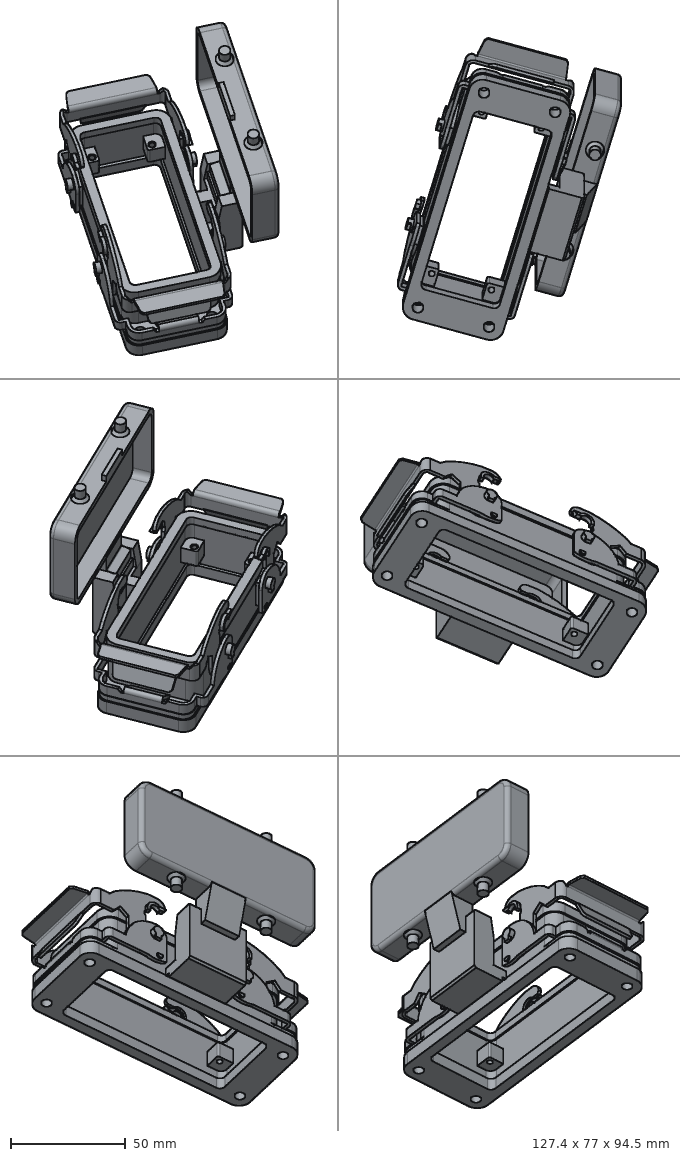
import cadquery as cq
import math


BASE_X, BASE_Y, BASE_H = 115.2, 45.4, 6.8
BASE_CORNER_R = 5.9
STEP_INSET = 0.75
STEP_TOP = 9.4
BODY_X, BODY_Y, BODY_CORNER_R = 94.2, BASE_Y - 2 * STEP_INSET, 6.0
RIM_OVERHANG = 0.8
RIM_BOTTOM, RIM_TOP = 26.7, 32.0
CAVITY_X, CAVITY_Y, CAVITY_R = 87.6, 36.4, 2.6
LIP_BOTTOM, LIP_WIDTH = 28.0, 0.6
LEDGE_Z, LEDGE_X_WIDTH, LEDGE_Y_WIDTH = 5.9, 0.9, 0.45
MOUNT_HOLE_D, MOUNT_X, MOUNT_Y = 4.7, 51.7, 16.1
LUG_X, LUG_Y, LUG_BOTTOM, LUG_TOP = 7.6, 7.3, 11.5, 19.8
LUG_CORNER_R = 0.9
SCREW_D, SCREW_MOUTH_D, SCREW_X, SCREW_Y = 2.6, 3.4, 38.95, 13.5
SCREW_MOUTH_ANGLE = 90

PIVOT_X, PIVOT_Z, PIVOT_R = -23.9, 23.7, 2.6
PIN_END_Y = 29.1
KEY_WIDTH, KEY_BOTTOM, KEY_DEPTH = 2.8, 19.7, 1.6

ARM_IN, ARM_OUT = 22.9, 24.5
LEVER_END_X = -55.2
LEVER_CORNER_R = 3.5
BAND_BOTTOM, BAND_TOP, ARM_TOP = 28.5, 35.1, 37.1
BAND_END_X = -51.0
ARM_ROOT_X, ARM_SHOULDER_X = -51.8, -46.9
CORNER_RELIEF = 1.6
HOOK_X, HOOK_Z, HOOK_R = PIVOT_X, 38.4, 2.4
HOOK_RIM_R, HOOK_RIM_BOTTOM, HOOK_RIM_OUT = 3.9, 36.7, 26.2
HOOK_WEB = 0.4
NOSE_BACK, NOSE_TIP, NOSE_HEEL_Z = (-17.9, 41.3), (-19.4, 39.6), 39.2
HANDLE_TIP_X, HANDLE_TIP_HALF, HANDLE_ROOT_HALF = -63.7, 17.7, 20.0
HANDLE_CORNER = 1.2
SHEET = 1.4
BEND_R = 0.7

CLIP_END_X, CLIP_SIDE_Y, CLIP_SHEET = -57.2, 22.1, 1.6
CLIP_CORNER_R = 5.2
CLIP_BOTTOM, CLIP_TOP = 10.0, 15.2
CLIP_JOG_X = -49.4
CLIP_JOG_R = 2.6
CLIP_ARM_IN, CLIP_ARM_OUT = 24.8, 26.5
CLIP_ARM_END_X = -17.9
NOTCH_Z, NOTCH_TOP_HALF, NOTCH_BOTTOM_HALF = 13.5, 11.6, 10.3
TAB_HALF = 9.0

HINGE_HALF, BAR_HALF = 15.1, 9.1
HINGE_BACK_Y, HINGE_BOTTOM, HINGE_TOP = 39.8, 5.1, 36.9
EAR_FRONT_Y, FOOT_TOP = 28.8, 11.5
RIB_HALF, RIB_TOP = 3.0, 26.9
BAR_CREST_Y, BAR_CREST_Z = 35.5, 37.3
BAR_FRONT_Y, BAR_FRONT_TOP = 31.4, 36.2
BAR_STEP_Y, BAR_STEP_Z = 30.4, 31.6

LID_X, LID_BOTTOM, LID_TOP = 94.2, 45.0, 88.5
LID_BACK_Y, LID_FRONT_Y = 47.9, 35.6
LID_CORNER_R, LID_BACK_R = 6.0, 2.2
LID_WALL, LID_CAVITY_DEPTH = 2.6, 8.8
POST_X, POST_Y, POST_R, POST_LENGTH = 24.0, 42.2, 2.5, 6.04
POST_FOOT_R, POST_FOOT_H = 4.0, 1.4
LATCH_HALF, LATCH_TOP, LATCH_THICK = 9.5, 91.6, 2.2


def block(x0, x1, y0, y1, z0, z1):
    """Box between two opposite corners."""
    return cq.Workplane("XY").box(x1 - x0, y1 - y0, z1 - z0, centered=False).translate((x0, y0, z0))


def rounded_block(x, y, z0, z1, radius):
    """Block centred on Z with rounded vertical edges."""
    return block(-x / 2, x / 2, -y / 2, y / 2, z0, z1).edges("|Z").fillet(radius)


def profile_xz(start):
    """Begin an outline in the XZ plane."""
    return cq.Workplane("XZ").moveTo(*start)


def extrude_y(outline, y0, y1):
    """Extrude a closed XZ outline from y0 to y1."""
    return outline.extrude(y1 - y0).translate((0, y1, 0))


def extrude_x(points, half):
    """Extrude a YZ polygon symmetrically about X = 0."""
    return cq.Workplane("YZ").polyline(points).close().extrude(half, both=True)


def both_sides(shape):
    """The shape together with its mirror image in Y."""
    return shape.union(shape.mirror("XZ"))


def both_ends(shape):
    """The shape together with its mirror image in X."""
    return shape.union(shape.mirror("YZ"))


def make_frame():
    """Flanged base, hollow body with an overhanging rim, and the screw lugs."""
    step_x = BASE_X - 2 * STEP_INSET
    frame = rounded_block(BASE_X, BASE_Y, 0, BASE_H, BASE_CORNER_R)
    frame = frame.union(rounded_block(step_x, BODY_Y, BASE_H, STEP_TOP, BASE_CORNER_R - STEP_INSET))
    frame = frame.union(rounded_block(BODY_X, BODY_Y, STEP_TOP, RIM_BOTTOM, BODY_CORNER_R))
    rim_x, rim_y = BODY_X + 2 * RIM_OVERHANG, BODY_Y + 2 * RIM_OVERHANG
    frame = frame.union(rounded_block(rim_x, rim_y, RIM_BOTTOM, RIM_TOP, BODY_CORNER_R + RIM_OVERHANG))
    frame = frame.cut(rounded_block(CAVITY_X, CAVITY_Y, LEDGE_Z, RIM_TOP, CAVITY_R))
    pocket_x, pocket_y = CAVITY_X + 2 * LIP_WIDTH, CAVITY_Y + 2 * LIP_WIDTH
    frame = frame.cut(rounded_block(pocket_x, pocket_y, LEDGE_Z, LIP_BOTTOM, CAVITY_R + LIP_WIDTH))
    opening_x, opening_y = CAVITY_X - 2 * LEDGE_X_WIDTH, CAVITY_Y - 2 * LEDGE_Y_WIDTH
    frame = frame.cut(rounded_block(opening_x, opening_y, 0, LEDGE_Z, CAVITY_R))
    mount_holes = cq.Workplane("XY").rect(2 * MOUNT_X, 2 * MOUNT_Y, forConstruction=True).vertices()
    frame = frame.cut(mount_holes.circle(MOUNT_HOLE_D / 2).extrude(STEP_TOP))
    return frame.union(both_ends(both_sides(make_lug())))


def make_lug():
    """Screw lug in the -X, -Y corner of the cavity, let into the walls."""
    embed = 1.0
    wall_x, wall_y = -CAVITY_X / 2, -CAVITY_Y / 2
    lug = block(wall_x - embed, wall_x + LUG_X, wall_y - embed, wall_y + LUG_Y, LUG_BOTTOM, LUG_TOP)
    lug = lug.edges("|Z and >X and >Y").fillet(LUG_CORNER_R)
    lug = lug.faces(">Z").workplane(origin=(-SCREW_X, -SCREW_Y, LUG_TOP))
    return lug.cskHole(SCREW_D, SCREW_MOUTH_D, SCREW_MOUTH_ANGLE)


def make_pin():
    """Pivot pin on the -Y side with its key below the head."""
    wall_y = -BODY_Y / 2
    embed = 1.0
    pin = extrude_y(profile_xz((PIVOT_X, PIVOT_Z)).circle(PIVOT_R), -PIN_END_Y, wall_y + embed)
    key_y = -PIN_END_Y + KEY_DEPTH
    half = KEY_WIDTH / 2
    return pin.union(block(PIVOT_X - half, PIVOT_X + half, -PIN_END_Y, key_y, KEY_BOTTOM, PIVOT_Z))


def make_hook_arm():
    """Flat side arm of the upper lever, with the locking hook, on the -Y side."""
    outline = (
        profile_xz((ARM_ROOT_X, BAND_BOTTOM))
        .lineTo(ARM_ROOT_X, ARM_TOP)
        .lineTo(ARM_SHOULDER_X, ARM_TOP)
        .lineTo(-44.3, 39.7)
        .threePointArc((-36.0, 44.5), (-26.5, 47.3))
        .lineTo(-22.3, 47.3)
        .threePointArc((-18.3, 45.6), (-17.2, 42.8))
        .lineTo(*NOSE_BACK)
        .lineTo(*NOSE_TIP)
        .lineTo(HOOK_X + HOOK_R, NOSE_HEEL_Z)
        .lineTo(HOOK_X + HOOK_R, HOOK_Z)
        .threePointArc((HOOK_X, HOOK_Z + HOOK_R), (HOOK_X - HOOK_R, HOOK_Z))
        .lineTo(HOOK_X - HOOK_R, HOOK_RIM_BOTTOM)
        .lineTo(-28.2, HOOK_RIM_BOTTOM)
        .threePointArc((-28.4, 35.4), (-27.6, 34.2))
        .lineTo(-27.6, 28.0)
        .lineTo(-19.5, 26.0)
        .lineTo(-19.5, 13.0)
        .lineTo(-28.0, 12.0)
        .threePointArc((-34.5, 16.0), (-36.9, 22.0))
        .lineTo(-36.9, 29.2)
        .lineTo(-41.3, 32.4)
        .lineTo(-44.7, BAND_BOTTOM)
        .close()
    )
    arm = extrude_y(outline, -ARM_OUT, -ARM_IN)
    arm = arm.cut(make_hook_strip(HOOK_WEB - ARM_OUT, -ARM_IN))
    return arm.union(make_hook_strip(-HOOK_RIM_OUT, -ARM_OUT))


def make_hook_strip(y0, y1):
    """Strip around the hook mouth: raised outside the arm, sunk on its inside."""
    nose_z = NOSE_BACK[1]
    rise = math.sqrt(HOOK_RIM_R**2 - (nose_z - HOOK_Z) ** 2)
    outline = (
        profile_xz((HOOK_X - HOOK_RIM_R, HOOK_RIM_BOTTOM))
        .lineTo(HOOK_X - HOOK_RIM_R, HOOK_Z)
        .threePointArc((HOOK_X, HOOK_Z + HOOK_RIM_R), (HOOK_X + rise, nose_z))
        .lineTo(*NOSE_BACK)
        .lineTo(*NOSE_TIP)
        .lineTo(HOOK_X + HOOK_R, NOSE_HEEL_Z)
        .lineTo(HOOK_X + HOOK_R, HOOK_Z)
        .threePointArc((HOOK_X, HOOK_Z + HOOK_R), (HOOK_X - HOOK_R, HOOK_Z))
        .lineTo(HOOK_X - HOOK_R, HOOK_RIM_BOTTOM)
        .close()
    )
    return extrude_y(outline, y0, y1)


def end_cup(end_x, side_y, inner_x, sheet, radius, z0, z1):
    """U-shaped sheet band around the -X end, with rounded corners."""
    outer = block(end_x, inner_x, -side_y, side_y, z0, z1).edges("|Z and <X").fillet(radius)
    inner = block(end_x + sheet, inner_x, -side_y + sheet, side_y - sheet, z0, z1)
    return outer.cut(inner.edges("|Z and <X").fillet(radius - sheet))


def make_handle():
    """Grip plate bent outward from the top of the upper lever's end band."""
    bend_x = LEVER_END_X - BEND_R
    inner_x = LEVER_END_X + SHEET
    diagonal = math.sqrt(0.5)
    outer_r = BEND_R + SHEET
    outline = (
        profile_xz((HANDLE_TIP_X, BAND_TOP + BEND_R))
        .lineTo(bend_x, BAND_TOP + BEND_R)
        .threePointArc(
            (bend_x + BEND_R * diagonal, BAND_TOP + BEND_R * diagonal),
            (LEVER_END_X, BAND_TOP),
        )
        .lineTo(inner_x, BAND_TOP)
        .threePointArc(
            (bend_x + outer_r * diagonal, BAND_TOP + outer_r * diagonal),
            (bend_x, BAND_TOP + outer_r),
        )
        .lineTo(HANDLE_TIP_X, BAND_TOP + outer_r)
        .close()
    )
    plate = extrude_y(outline, -HANDLE_ROOT_HALF, HANDLE_ROOT_HALF)
    plan = [
        (inner_x, HANDLE_ROOT_HALF),
        (bend_x, HANDLE_ROOT_HALF),
        (HANDLE_TIP_X + HANDLE_CORNER, HANDLE_TIP_HALF + HANDLE_CORNER),
        (HANDLE_TIP_X, HANDLE_TIP_HALF),
    ]
    plan += [(x, -y) for x, y in reversed(plan)]
    return plate.intersect(cq.Workplane("XY").polyline(plan).close().extrude(ARM_TOP + outer_r))


def make_skirt():
    """Tilted plate hanging from the upper lever's end band."""
    drop, reach = 7.4, 3.3
    top_half, bottom_half, corner_r = 14.8, 13.7, 2.0
    top_x = LEVER_END_X + SHEET
    length = math.hypot(drop, reach)
    slope = (-reach / length, 0, -drop / length)
    normal = (-drop / length, 0, reach / length)
    plane = cq.Plane(origin=(top_x, 0, BAND_BOTTOM), xDir=slope, normal=normal)
    embed = 0.6
    plan = [(-embed, -top_half), (length, -bottom_half), (length, bottom_half), (-embed, top_half)]
    plate = cq.Workplane(plane).polyline(plan).close().extrude(SHEET)
    tip = cq.selectors.BoxSelector((-65, -20, 18), (top_x - 2, 20, 23))
    across = cq.selectors.ParallelDirSelector(cq.Vector(*normal))
    return plate.edges(tip).edges(across).fillet(corner_r)


def make_upper_lever():
    """End band, hook arms, grip plate and skirt of the -X locking lever."""
    lever = end_cup(LEVER_END_X, ARM_OUT, BAND_END_X, SHEET, LEVER_CORNER_R, BAND_BOTTOM, ARM_TOP)
    corner_y = ARM_OUT - LEVER_CORNER_R
    relief_y = corner_y + CORNER_RELIEF
    gap = [(-corner_y, BAND_TOP), (-relief_y, ARM_TOP), (relief_y, ARM_TOP), (corner_y, BAND_TOP)]
    lever = lever.cut(extrude_x(gap, BASE_X))
    return lever.union(both_sides(make_hook_arm())).union(make_handle()).union(make_skirt())


def make_clip_arm():
    """Flat side arm of the lower lever around the pivot, on the -Y side."""
    outline = (
        profile_xz((CLIP_JOG_X, CLIP_BOTTOM))
        .lineTo(-28.3, CLIP_BOTTOM)
        .threePointArc((-23.9, 9.3), (-19.3, 10.0))
        .lineTo(CLIP_ARM_END_X, 10.8)
        .lineTo(CLIP_ARM_END_X, PIVOT_Z)
        .threePointArc((-19.6, 27.9), (PIVOT_X, 29.7))
        .threePointArc((-33.0, 26.5), (-39.7, CLIP_TOP))
        .lineTo(CLIP_JOG_X, CLIP_TOP)
        .close()
    )
    arm = extrude_y(outline, -CLIP_ARM_OUT, -CLIP_ARM_IN)
    jog_end = CLIP_JOG_X + CLIP_SHEET
    side_inner_y = CLIP_SHEET - CLIP_SIDE_Y
    arm = arm.union(block(CLIP_JOG_X, jog_end, -CLIP_ARM_OUT, side_inner_y, CLIP_BOTTOM, CLIP_TOP))
    arm = arm.edges("|Z and <X and <Y").fillet(CLIP_JOG_R)
    return arm.union(make_clip_nub())


def make_clip_nub():
    """Small half-round bump near the bottom of the lower lever's arm."""
    centre_x, flat_z, radius, height = -21.8, 12.6, 1.4, 0.8
    outline = (
        profile_xz((centre_x - radius, flat_z))
        .lineTo(centre_x + radius, flat_z)
        .lineTo(centre_x + radius, flat_z - radius / 2)
        .threePointArc((centre_x, flat_z - 1.4 * radius), (centre_x - radius, flat_z - radius / 2))
        .close()
    )
    return extrude_y(outline, -CLIP_ARM_OUT - height, -CLIP_ARM_OUT)


def make_spring_tab():
    """Tab rolled over the lower lever's end plate and sloping down inward."""
    outline = (
        profile_xz((CLIP_END_X, NOTCH_Z))
        .lineTo(CLIP_END_X, NOTCH_Z + 0.3)
        .threePointArc((-56.6, 15.3), (-55.0, 15.7))
        .lineTo(-47.7, 10.6)
        .lineTo(-48.7, 9.4)
        .lineTo(CLIP_END_X + CLIP_SHEET, NOTCH_Z + 0.6)
        .lineTo(CLIP_END_X + CLIP_SHEET, NOTCH_Z)
        .close()
    )
    return extrude_y(outline, -TAB_HALF, TAB_HALF)


def make_lower_lever():
    """End band, side arms and spring tab of the -X retaining lever."""
    jog_end = CLIP_JOG_X + CLIP_SHEET
    lever = end_cup(CLIP_END_X, CLIP_SIDE_Y, jog_end, CLIP_SHEET, CLIP_CORNER_R, CLIP_BOTTOM, CLIP_TOP)
    notch = [
        (-NOTCH_BOTTOM_HALF, NOTCH_Z),
        (-NOTCH_TOP_HALF, CLIP_TOP),
        (NOTCH_TOP_HALF, CLIP_TOP),
        (NOTCH_BOTTOM_HALF, NOTCH_Z),
    ]
    lever = lever.cut(extrude_x(notch, BASE_X))
    return lever.union(both_sides(make_clip_arm())).union(make_spring_tab())


def make_hinge():
    """Bracket on the +Y wall: two ears, a foot, a rib and the bar between the ears."""
    embed = 0.5
    wall_y = BODY_Y / 2 - embed
    foot_step_y, foot_step_z, chamfer = 24.0, 7.3, 1.0
    top_chamfer = 0.5
    ear_top_y, ear_knee_z = 30.4, 26.6
    side = [
        (HINGE_BACK_Y, HINGE_TOP - top_chamfer),
        (HINGE_BACK_Y - top_chamfer, HINGE_TOP),
        (ear_top_y, HINGE_TOP),
        (EAR_FRONT_Y, ear_knee_z),
        (EAR_FRONT_Y, FOOT_TOP),
        (wall_y, FOOT_TOP),
        (wall_y, foot_step_z),
        (foot_step_y, foot_step_z),
        (foot_step_y, HINGE_BOTTOM),
        (HINGE_BACK_Y - chamfer, HINGE_BOTTOM),
        (HINGE_BACK_Y, HINGE_BOTTOM + chamfer),
    ]
    hinge = extrude_x(side, HINGE_HALF)
    bar = [
        (HINGE_BACK_Y, BAR_CREST_Z),
        (BAR_CREST_Y, BAR_CREST_Z),
        (BAR_FRONT_Y, BAR_FRONT_TOP),
        (BAR_FRONT_Y, BAR_STEP_Z),
        (BAR_STEP_Y, BAR_STEP_Z),
        (BAR_STEP_Y, RIB_TOP),
        (EAR_FRONT_Y, RIB_TOP),
        (EAR_FRONT_Y, FOOT_TOP),
        (HINGE_BACK_Y, FOOT_TOP),
    ]
    ear_gap = block(-BAR_HALF, BAR_HALF, EAR_FRONT_Y, HINGE_BACK_Y, FOOT_TOP, HINGE_TOP)
    hinge = hinge.cut(ear_gap).union(extrude_x(bar, BAR_HALF))
    return hinge.union(block(-RIB_HALF, RIB_HALF, wall_y, EAR_FRONT_Y, FOOT_TOP, RIB_TOP))


def make_lid():
    """Open lid standing on edge, its mouth toward -Y, with the hinge arm below it."""
    mid_z = (LID_BOTTOM + LID_TOP) / 2
    height = LID_TOP - LID_BOTTOM
    lid = block(-LID_X / 2, LID_X / 2, LID_FRONT_Y, LID_BACK_Y, LID_BOTTOM, LID_TOP)
    lid = lid.edges("|Y").fillet(LID_CORNER_R).faces(">Y").edges().fillet(LID_BACK_R)
    mouth = profile_xz((0, mid_z)).rect(LID_X - 2 * LID_WALL, height - 2 * LID_WALL)
    mouth = extrude_y(mouth, LID_FRONT_Y, LID_FRONT_Y + LID_CAVITY_DEPTH)
    lid = lid.cut(mouth.edges("|Y").fillet(LID_CORNER_R - LID_WALL))
    latch_z0 = LID_TOP - LID_WALL
    lid = lid.union(
        block(-LATCH_HALF, LATCH_HALF, LID_FRONT_Y, LID_FRONT_Y + LATCH_THICK, latch_z0, LATCH_TOP)
    )
    arm_front_y, arm_root_z, arm_bottom_z, arm_tip_y = 35.9, 46.5, 27.9, 42.8
    arm = [
        (LID_BACK_Y, arm_root_z),
        (arm_tip_y, arm_bottom_z),
        (arm_front_y, arm_bottom_z),
        (arm_front_y, LID_BOTTOM + LID_WALL),
        (LID_BACK_Y - LID_BACK_R, LID_BOTTOM + LID_WALL),
    ]
    lid = lid.union(extrude_x(arm, BAR_HALF))
    post = make_post()
    lower_post = post.mirror("XY", (0, 0, mid_z))
    return lid.union(both_ends(post.union(lower_post)))


def make_post():
    """Locking post with a conical foot on the lid's top edge, on the -X side."""
    seat = cq.Workplane("XY", origin=(-POST_X, POST_Y, LID_TOP))
    post = seat.circle(POST_R).extrude(POST_LENGTH)
    foot = cq.Solid.makeCone(POST_FOOT_R, POST_R, POST_FOOT_H, cq.Vector(-POST_X, POST_Y, LID_TOP))
    return post.union(cq.Workplane(obj=foot))


levers = make_upper_lever().union(make_lower_lever()).union(both_sides(make_pin()))
result = make_frame().union(make_hinge()).union(make_lid()).union(both_ends(levers))